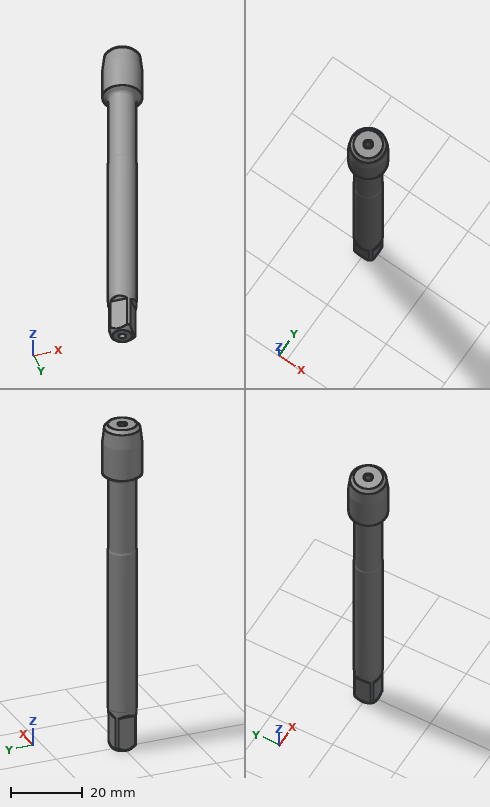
import cadquery as cq

length = 100
hole_diameter = 2
hole_chamfer = 0.3

head_radius = 11.2 / 2
taper_end_radius = 5.1
tip_radius = 8.2 / 2
tip_chamfer_height = 1.1
taper_base_z = 94.5
head_base_z = 85

neck_radius = 7.9 / 2
neck_fillet = 1
head_cone_slope = 0.7
head_cone_tip_z = head_base_z - head_cone_slope * (head_radius - neck_radius)

shank_radius = 8.2 / 2
shank_top_z = 61
neck_base_z = 61.6

drive_radius = 8 / 2
drive_top_z = 12.7
drive_step_height = 0.4
square_width = 6.3
square_length = 10.5
end_chamfer = 1.3


def turned_body():
    """Revolve the round profile about Z."""
    profile = [
        (0, 0),
        (drive_radius - end_chamfer, 0),
        (drive_radius, end_chamfer),
        (drive_radius, drive_top_z - drive_step_height),
        (shank_radius, drive_top_z),
        (shank_radius, shank_top_z),
        (neck_radius, neck_base_z),
        (neck_radius, head_cone_tip_z),
        (head_radius, head_base_z),
        (head_radius, taper_base_z),
        (taper_end_radius, length - tip_chamfer_height),
        (tip_radius, length),
        (0, length),
    ]
    body = cq.Workplane("XZ").polyline(profile).close().revolve(360, (0, 0), (0, 1))
    reach = 0.1
    neck_corner = cq.selectors.BoxSelector(
        (-head_radius, -head_radius, head_cone_tip_z - reach),
        (head_radius, head_radius, head_cone_tip_z + reach),
    )
    return body.edges("%CIRCLE").edges(neck_corner).fillet(neck_fillet)


def flat_cutter():
    """Material beside one driving flat, closed by a 45 degree run-out."""
    flat = square_width / 2
    outside = head_radius
    return (
        cq.Workplane("XZ")
        .polyline([(flat, 0), (outside, 0), (outside, square_length + outside - flat), (flat, square_length)])
        .close()
        .extrude(head_radius, both=True)
    )


result = turned_body()

for side in range(4):
    result = result.cut(flat_cutter().rotate((0, 0, 0), (0, 0, 1), 90 * side))

result = result.cut(cq.Workplane("XY").circle(hole_diameter / 2).extrude(length))
result = result.faces(">Z").edges(cq.selectors.RadiusNthSelector(0)).chamfer(hole_chamfer)